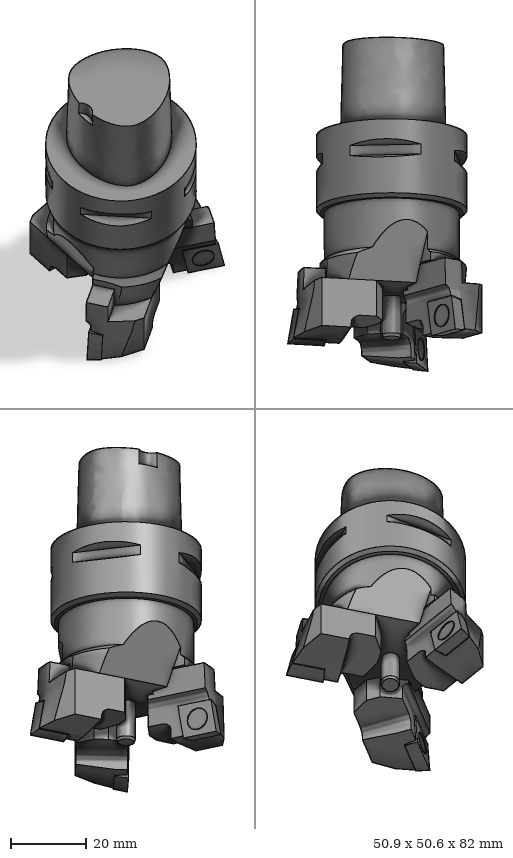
import cadquery as cq
import math

TOTAL_HEIGHT = 82.0
STATION_ANGLES = (0.0, 123.0, 244.0)
FAR = 49.2

SHANK_LENGTH = 24.0
SHANK_BASE_DIAMETER = 28.05
SHANK_TAPER = 1 / 20
LOBE_DEPTH = 1.7
SHANK_CURVE_POINTS = 24
NOTCH_RADIUS = 3.45
NOTCH_DEPTH = 4.3
NOTCH_CENTRE_Y = -14.5

COLLAR_DIAMETER = 40.0
COLLAR_TOP = TOTAL_HEIGHT - SHANK_LENGTH
COLLAR_BOTTOM = 36.8
COLLAR_CHAMFER = 1.0
NECK_DIAMETER = 36.0
NECK_BOTTOM = 23.6
FLANGE_RADIUS = 19.85
FLANGE_TOP = 22.05
FLANGE_BOTTOM = 21.0
CORE_BOTTOM_RADIUS = 19.5
CORE_BOTTOM = 13.9

GROOVE_COUNT = 4
GROOVE_Z = 50.1
GROOVE_FLOOR_DISTANCE = 17.6
GROOVE_FLOOR_HEIGHT = 2.7
GROOVE_FLANK_ANGLE = 25.0

NOZZLE_DIAMETER = 5.0
NOZZLE_TIP_DIAMETER = 4.4
NOZZLE_BOTTOM = 2.9
NOZZLE_TAPER_LENGTH = 0.8

FACE_Y = 2.4
BACK_Y = -12.8
SEAT_BACK_Z = 15.25
KEY_BACK_Y = -3.6
KEY_INNER_X = -9.5
KEY_OUTER_X = -25.0
KEY_TOP = 19.9
KEY_CLEARANCE = 0.5
SEAT_SLOPE = (SEAT_BACK_Z - CORE_BOTTOM) / (KEY_BACK_Y - BACK_Y)
SEAT_FLAT_X = -19.0
SEAT_FLAT_TOP = 24.6
SEAT_INNER_X = 9.5
FLUTE_ANGLE = 18.2
FLUTE_HEIGHT = 24.6

SLIDE_OUTER_X = -25.4
FLARE_OUTER_X = -27.4
FLARE_TOP = 11.5
FLARE_FOOT = 0.8
INSERT_BACK_Y = -2.5
BACK_CORNER_X = -22.1
RELIEF_KEY_Y = -11.4
RELIEF_TOP_Y = -10.1
RELIEF_FOOT_Y = -7.4
BACK_CHAMFER_SLOPE = 2 / 3
SLIDE_INNER_POINTS = [(-7.2, BACK_Y), (-4.6, -8.4), (-4.6, -4.5), (-7.9, FACE_Y)]
BOTTOM_BACK_Z = 2.1
BOTTOM_SLOPE = 0.13
HEEL_X = -14.2
HEEL_CEILING = 5.5
HEEL_RADIUS = 2.6
RECESS_Y = 0.9
RECESS_ARC_Z = 10.25
RECESS_ARC_RADIUS = 2.6

INSERT_FACE_Y = 1.3
INSERT_TIP_X = -28.1
INSERT_WIDTH = 10.0
INSERT_HEIGHT = 9.5
INSERT_LEAN = 1.6
INSERT_CLEARANCE_ANGLE = 8.0
SCREW_RECESS_DIAMETER = 6.0
SCREW_RECESS_DEPTH = 0.25


def turned(shape, angle):
    """Turn a shape about the Z axis."""
    return shape.rotate((0, 0, 0), (0, 0, 1), angle)


def box(x_range, y_range, z_range):
    """Axis-aligned box from its limits."""
    sizes = [high - low for low, high in (x_range, y_range, z_range)]
    corner = (x_range[0], y_range[0], z_range[0])
    return cq.Workplane("XY").box(*sizes, centered=False).translate(corner)


def prism_along_x(points, x_range):
    """Extrude a (Y, Z) outline along X."""
    start, end = x_range
    return cq.Workplane("YZ", origin=(start, 0, 0)).polyline(points).close().extrude(end - start)


def shank_curve_points(diameter):
    """Points around the three-lobed polygon, with one lobe toward +Y."""
    points = []
    for index in range(SHANK_CURVE_POINTS):
        angle = 2 * math.pi * index / SHANK_CURVE_POINTS
        across = diameter / 2 * math.sin(angle)
        across += LOBE_DEPTH * (math.sin(2 * angle) + math.sin(4 * angle) / 2)
        along = diameter / 2 * math.cos(angle)
        along -= LOBE_DEPTH * (math.cos(2 * angle) - math.cos(4 * angle) / 2)
        points.append((across, -along))
    return points


def make_shank():
    top_diameter = SHANK_BASE_DIAMETER - SHANK_TAPER * SHANK_LENGTH
    shank = (
        cq.Workplane("XY", origin=(0, 0, COLLAR_TOP))
        .spline(shank_curve_points(SHANK_BASE_DIAMETER), periodic=True).close()
        .workplane(offset=SHANK_LENGTH)
        .spline(shank_curve_points(top_diameter), periodic=True).close()
        .loft(ruled=True)
    )
    notch = (
        cq.Workplane("XY", origin=(0, NOTCH_CENTRE_Y, TOTAL_HEIGHT - NOTCH_DEPTH))
        .circle(NOTCH_RADIUS)
        .extrude(FAR)
    )
    return shank.cut(notch)


def make_turned_body():
    collar_radius = COLLAR_DIAMETER / 2
    neck_radius = NECK_DIAMETER / 2
    profile = [
        (0, COLLAR_TOP),
        (collar_radius, COLLAR_TOP),
        (collar_radius, COLLAR_BOTTOM + COLLAR_CHAMFER),
        (collar_radius - COLLAR_CHAMFER, COLLAR_BOTTOM),
        (neck_radius, COLLAR_BOTTOM),
        (neck_radius, NECK_BOTTOM),
        (FLANGE_RADIUS, FLANGE_TOP),
        (FLANGE_RADIUS, FLANGE_BOTTOM),
        (CORE_BOTTOM_RADIUS, CORE_BOTTOM),
        (0, CORE_BOTTOM),
    ]
    return cq.Workplane("XZ").polyline(profile).close().revolve(360, (0, 0), (0, 1))


def make_gripper_groove():
    depth = COLLAR_DIAMETER / 2 - GROOVE_FLOOR_DISTANCE
    floor_half = GROOVE_FLOOR_HEIGHT / 2
    mouth_half = floor_half + depth * math.tan(math.radians(GROOVE_FLANK_ANGLE))
    mouth_x = GROOVE_FLOOR_DISTANCE + depth
    profile = [
        (GROOVE_FLOOR_DISTANCE, GROOVE_Z - floor_half),
        (mouth_x, GROOVE_Z - mouth_half),
        (mouth_x, GROOVE_Z + mouth_half),
        (GROOVE_FLOOR_DISTANCE, GROOVE_Z + floor_half),
    ]
    return cq.Workplane("XZ").polyline(profile).close().extrude(FAR / 2, both=True)


def make_nozzle():
    radius = NOZZLE_DIAMETER / 2
    profile = [
        (0, CORE_BOTTOM),
        (radius, CORE_BOTTOM),
        (radius, NOZZLE_BOTTOM + NOZZLE_TAPER_LENGTH),
        (NOZZLE_TIP_DIAMETER / 2, NOZZLE_BOTTOM),
        (0, NOZZLE_BOTTOM),
    ]
    return cq.Workplane("XZ").polyline(profile).close().revolve(360, (0, 0), (0, 1))


def seat_height(y):
    """Height of the sloping seat between adapter and slide."""
    return SEAT_BACK_Z - SEAT_SLOPE * (y - BACK_Y)


def make_flute(angle, next_angle):
    """Chip space behind one slide, ending at the front face of the next."""
    lean = FLUTE_HEIGHT * math.tan(math.radians(FLUTE_ANGLE))
    outline = [
        (BACK_Y, 0),
        (BACK_Y, SEAT_BACK_Z),
        (BACK_Y - lean, SEAT_BACK_Z + FLUTE_HEIGHT),
        (-FAR, SEAT_BACK_Z + FLUTE_HEIGHT),
        (-FAR, 0),
    ]
    behind = turned(prism_along_x(outline, (-FAR, FAR)), angle)
    in_front_of_next = turned(box((-FAR, FAR), (FACE_Y, FAR), (0, FAR)), next_angle)
    return behind.intersect(in_front_of_next)


def make_slide_seat():
    """Sloping seat, key slot and flange flat for one slide."""
    slope = prism_along_x(
        [
            (BACK_Y, 0),
            (BACK_Y, seat_height(BACK_Y)),
            (KEY_BACK_Y, seat_height(KEY_BACK_Y)),
            (KEY_BACK_Y, 0),
        ],
        (-FAR, SEAT_INNER_X),
    )
    slot = box((-FAR, KEY_INNER_X), (KEY_BACK_Y, FACE_Y), (0, KEY_TOP + KEY_CLEARANCE))
    flat = box((-FAR, SEAT_FLAT_X), (BACK_Y, FACE_Y), (0, SEAT_FLAT_TOP))
    return slope.union(slot).union(flat)


def make_adapter():
    adapter = make_turned_body().union(make_shank())
    for index in range(GROOVE_COUNT):
        turn = (index + 0.5) * 360 / GROOVE_COUNT
        adapter = adapter.cut(turned(make_gripper_groove(), turn))
    next_angles = STATION_ANGLES[1:] + STATION_ANGLES[:1]
    for angle, next_angle in zip(STATION_ANGLES, next_angles):
        adapter = adapter.cut(make_flute(angle, next_angle))
        adapter = adapter.cut(turned(make_slide_seat(), angle))
    return adapter.union(make_nozzle())


def make_insert_blank():
    """Leaning four-sided plate that narrows toward its back."""
    inner_x = INSERT_TIP_X + INSERT_WIDTH
    corners = [
        (INSERT_TIP_X, 0),
        (inner_x, 0),
        (inner_x + INSERT_LEAN, INSERT_HEIGHT),
        (INSERT_TIP_X + INSERT_LEAN, INSERT_HEIGHT),
    ]
    face = cq.Workplane("XZ", origin=(0, INSERT_FACE_Y, 0)).polyline(corners).close()
    return face.extrude(INSERT_FACE_Y - INSERT_BACK_Y, taper=INSERT_CLEARANCE_ANGLE)


def make_insert():
    centre_x = INSERT_TIP_X + (INSERT_WIDTH + INSERT_LEAN) / 2
    screw_recess = (
        cq.Workplane("XZ", origin=(centre_x, INSERT_FACE_Y, INSERT_HEIGHT / 2))
        .circle(SCREW_RECESS_DIAMETER / 2)
        .extrude(SCREW_RECESS_DEPTH)
    )
    return make_insert_blank().cut(screw_recess)


def slide_outline(outer_x, relief_y):
    """Plan outline of the slide with its outer face ending at relief_y."""
    relief_x = BACK_CORNER_X - BACK_CHAMFER_SLOPE * (relief_y - BACK_Y)
    outer_points = [
        (outer_x, FACE_Y),
        (outer_x, INSERT_BACK_Y),
        (relief_x, relief_y),
        (BACK_CORNER_X, BACK_Y),
    ]
    return outer_points + SLIDE_INNER_POINTS


def make_stage(lower_z, lower_outline, upper_z, upper_outline):
    """Solid that blends one plan outline into another above it."""
    return (
        cq.Workplane("XY", origin=(0, 0, lower_z))
        .polyline(lower_outline).close()
        .workplane(offset=upper_z - lower_z)
        .polyline(upper_outline).close()
        .loft(ruled=True)
    )


def make_slide_block():
    """Slide that flares outward toward its foot and carries the key on top."""
    foot = slide_outline(FLARE_OUTER_X, RELIEF_FOOT_Y)
    middle = slide_outline(SLIDE_OUTER_X, RELIEF_TOP_Y)
    top = slide_outline(KEY_OUTER_X, RELIEF_KEY_Y)
    block = make_stage(FLARE_FOOT, foot, FLARE_TOP, middle)
    block = block.union(make_stage(FLARE_TOP, middle, KEY_TOP, top))
    behind_key = prism_along_x(
        [
            (BACK_Y, seat_height(BACK_Y)),
            (BACK_Y, FAR),
            (KEY_BACK_Y, FAR),
            (KEY_BACK_Y, seat_height(KEY_BACK_Y)),
        ],
        (-FAR, 0),
    )
    inside_key = box((KEY_INNER_X, 0), (KEY_BACK_Y, FACE_Y), (CORE_BOTTOM, FAR))
    return block.cut(behind_key).cut(inside_key)


def make_underside_cut():
    """Sloping underside that rises toward the back."""
    front_z = BOTTOM_BACK_Z - BOTTOM_SLOPE * (FACE_Y - BACK_Y)
    outline = [(BACK_Y, BOTTOM_BACK_Z), (FACE_Y, front_z), (FACE_Y, -FAR), (BACK_Y, -FAR)]
    return prism_along_x(outline, (-FAR, 0))


def make_heel_cut():
    """Raised underside toward the axis, with a rounded inner corner."""
    raised = box((HEEL_X, 0), (-FAR, FAR), (-FAR, HEEL_CEILING))
    return raised.edges("|Y and <X and >Z").fillet(HEEL_RADIUS)


def make_face_recess():
    """Step in the front face around the insert, with an arc at its top."""
    arc_y = RECESS_Y + RECESS_ARC_RADIUS
    arc_angle = math.acos((arc_y - FACE_Y) / RECESS_ARC_RADIUS)
    arc_end_z = RECESS_ARC_Z + RECESS_ARC_RADIUS * math.sin(arc_angle)
    arc_middle = (
        arc_y - RECESS_ARC_RADIUS * math.cos(arc_angle / 2),
        RECESS_ARC_Z + RECESS_ARC_RADIUS * math.sin(arc_angle / 2),
    )
    return (
        cq.Workplane("YZ", origin=(-FAR, 0, 0))
        .moveTo(RECESS_Y, -FAR)
        .lineTo(RECESS_Y, RECESS_ARC_Z)
        .threePointArc(arc_middle, (FACE_Y, arc_end_z))
        .lineTo(FACE_Y, -FAR)
        .close()
        .extrude(FAR)
    )


def make_slide():
    slide = make_slide_block().cut(make_underside_cut())
    slide = slide.cut(make_heel_cut())
    slide = slide.cut(make_face_recess())
    return slide.cut(make_insert_blank())


adapter = make_adapter()
slides = [turned(make_slide(), angle) for angle in STATION_ANGLES]
inserts = [turned(make_insert(), angle) for angle in STATION_ANGLES]

result = cq.Compound.makeCompound(
    [
        adapter.solids().val(),
        *[slide.solids().val() for slide in slides],
        *[insert.solids().val() for insert in inserts],
    ]
)